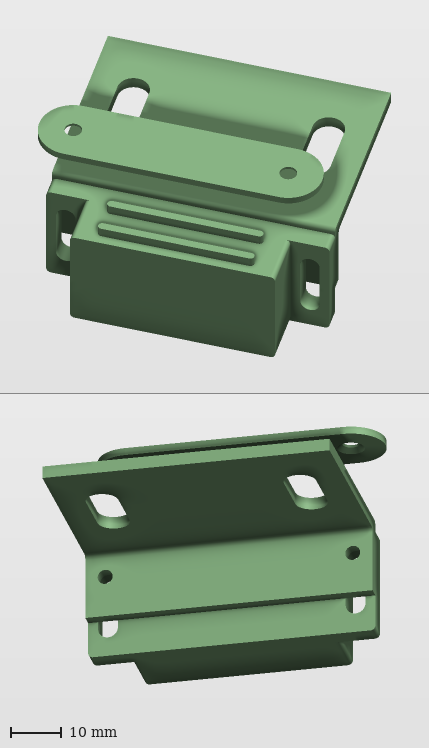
import cadquery as cq

width = 58.05
total_depth = 56.0
total_height = 45.6
edge_radius = 1.0

housing_height = 22.0
housing_depth = 15.0
body_width = 42.0
flange_thickness = 4.0
flange_slot_width = 4.0
flange_slot_length = 14.0
screw_spacing = 50.05
flange_slot_z = housing_height / 2

rail_length = 32.0
rail_width = 1.6
rail_height = 2.05
rail_centres_y = (-5.75, -12.25)

bracket_thickness = 2.5
bracket_length = 40.0
bracket_top = 23.5
bracket_bottom = 7.5
screw_hole_diameter = 3.0
screw_hole_z = flange_slot_z + (flange_slot_length - flange_slot_width) / 2
mount_slot_width = 6.5
mount_slot_length = 16.5
mount_slot_spacing = 40.0
mount_slot_y = 21.8

plate_width = 14.0
plate_thickness = 1.5
plate_hole_diameter = 3.5
countersink_diameter = 5.45
countersink_depth = (countersink_diameter - plate_hole_diameter) / 2
plate_hole_spacing = width - plate_width
plate_front_y = bracket_length - total_depth
plate_centre_y = plate_front_y + plate_width / 2


def mirrored_pair(spacing, other):
    """Two points at equal distances either side of X = 0."""
    return [(-spacing / 2, other), (spacing / 2, other)]


def rounded_block(block_width, depth):
    """Block reaching forward from Y = 0, rounded on its four edges along Y."""
    return (
        cq.Workplane("XY")
        .box(block_width, depth, housing_height, centered=(True, True, False))
        .translate((0, -depth / 2, 0))
        .edges("|Y")
        .fillet(edge_radius)
    )


def make_housing():
    """Flanged housing with adjustment slots and two round-ended rails."""
    flange = rounded_block(width, flange_thickness)
    slots = (
        cq.Workplane("XZ")
        .pushPoints(mirrored_pair(screw_spacing, flange_slot_z))
        .slot2D(flange_slot_length, flange_slot_width, 90)
        .extrude(flange_thickness)
    )
    rails = (
        cq.Workplane("XY", origin=(0, 0, housing_height))
        .pushPoints([(0, y) for y in rail_centres_y])
        .slot2D(rail_length, rail_width)
        .extrude(rail_height)
    )
    return flange.cut(slots).union(rounded_block(body_width, housing_depth)).union(rails)


def make_bracket():
    """Right-angle bracket with mounting slots above and screw holes below."""
    underside = bracket_top - bracket_thickness
    angle = (
        cq.Workplane("YZ")
        .moveTo(0, bracket_bottom)
        .lineTo(0, bracket_top)
        .lineTo(bracket_length, bracket_top)
        .lineTo(bracket_length, underside)
        .lineTo(bracket_thickness, underside)
        .lineTo(bracket_thickness, bracket_bottom)
        .close()
        .extrude(width / 2, both=True)
    )
    outer_bend = cq.selectors.NearestToPointSelector((0, 0, bracket_top))
    inner_bend = cq.selectors.NearestToPointSelector((0, bracket_thickness, underside))
    angle = angle.edges(outer_bend).fillet(edge_radius)
    angle = angle.edges(inner_bend).fillet(edge_radius)
    mount_slots = (
        cq.Workplane("XY", origin=(0, 0, underside))
        .pushPoints(mirrored_pair(mount_slot_spacing, mount_slot_y))
        .slot2D(mount_slot_length, mount_slot_width, 90)
        .extrude(bracket_thickness)
    )
    screw_holes = (
        cq.Workplane("XZ", origin=(0, bracket_thickness, 0))
        .pushPoints(mirrored_pair(screw_spacing, screw_hole_z))
        .circle(screw_hole_diameter / 2)
        .extrude(bracket_thickness)
    )
    return angle.cut(mount_slots).cut(screw_holes)


def make_strike_plate():
    """Round-ended plate held above the rails, with a hole countersunk from below at each end centre."""
    plane_origin = (0, plate_centre_y, total_height - plate_thickness)
    plate = cq.Workplane("XY", origin=plane_origin).slot2D(width, plate_width).extrude(plate_thickness)
    holes = (
        cq.Workplane("XY", origin=plane_origin)
        .pushPoints(mirrored_pair(plate_hole_spacing, 0))
        .circle(plate_hole_diameter / 2)
        .extrude(plate_thickness)
    )
    countersinks = (
        cq.Workplane("XY", origin=plane_origin)
        .pushPoints(mirrored_pair(plate_hole_spacing, 0))
        .circle(countersink_diameter / 2)
        .extrude(countersink_depth, taper=45)
    )
    return plate.cut(holes).cut(countersinks)


housing = make_housing()
bracket = make_bracket()
strike_plate = make_strike_plate()

result = cq.Compound.makeCompound([housing.val(), bracket.val(), strike_plate.val()])